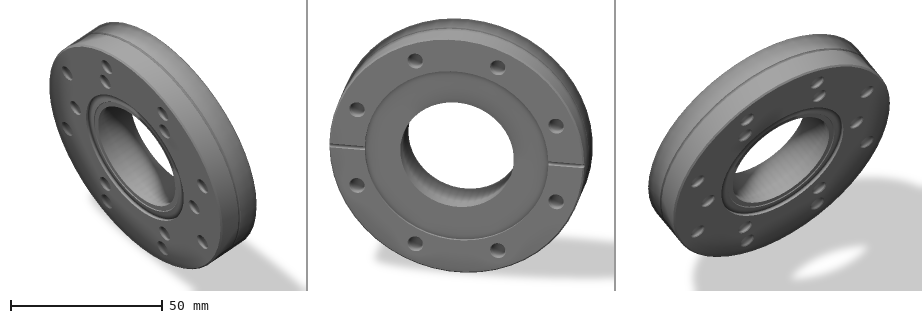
import cadquery as cq
import math

outer_diameter = 85.7
thickness = 16.0
bore_diameter = 38.1
edge_chamfer = 0.5

rim_groove_width = 0.9
rim_groove_depth = 0.3

seat_diameter = 48.25
seat_depth = 1.2
knife_diameter = 42.0
knife_foot_diameter = 41.65
knife_depth = 0.6
land_depth = 0.85

back_recess_diameter = 61.7
back_recess_depth = 0.85

hole_diameter = 4.9
hole_chamfer = 0.25
through_circle_diameter = 72.4
through_count = 8
blind_circle_diameter = 58.7
blind_count = 6
blind_depth = 11.1

leak_groove_radius = 0.7

outer_radius = outer_diameter / 2
back = thickness / 2
front = -back


def flange_body():
    """Revolve the flange half-section, including the rim groove and both gasket recesses."""
    bore_radius = bore_diameter / 2
    knife_foot_radius = knife_foot_diameter / 2
    knife_radius = knife_diameter / 2
    seat_radius = seat_diameter / 2
    back_recess_radius = back_recess_diameter / 2
    chamfer_radius = outer_radius - edge_chamfer
    groove_half_width = rim_groove_width / 2
    return (
        cq.Workplane("XY")
        .moveTo(bore_radius, front + land_depth)
        .lineTo(knife_foot_radius, front + land_depth)
        .lineTo(knife_radius, front + knife_depth)
        .lineTo(seat_radius, front + seat_depth)
        .lineTo(seat_radius, front)
        .lineTo(chamfer_radius, front)
        .lineTo(outer_radius, front + edge_chamfer)
        .lineTo(outer_radius, -groove_half_width)
        .threePointArc((outer_radius - rim_groove_depth, 0), (outer_radius, groove_half_width))
        .lineTo(outer_radius, back - edge_chamfer)
        .lineTo(chamfer_radius, back)
        .lineTo(back_recess_radius, back)
        .lineTo(back_recess_radius, back - back_recess_depth)
        .lineTo(bore_radius, back - back_recess_depth)
        .close()
        .revolve(360, (0, 0, 0), (0, 1, 0))
    )


def hole_cutter(depth, chamfer_far_end):
    """Round cutter entering the front face, flared by the chamfer at each open end."""
    radius = hole_diameter / 2
    mouth_radius = radius + hole_chamfer
    end = front + depth
    section = [(0, front), (mouth_radius, front), (radius, front + hole_chamfer)]
    if chamfer_far_end:
        section += [(radius, end - hole_chamfer), (mouth_radius, end)]
    else:
        section += [(radius, end)]
    section += [(0, end)]
    return cq.Workplane("XY").polyline(section).close().revolve(360, (0, 0, 0), (0, 1, 0))


def hole_ring(cutter, count, circle_diameter, start_angle):
    """Copies of a hole cutter spaced evenly round the Y axis."""
    ring = cq.Workplane("XY")
    for index in range(count):
        angle = math.radians(start_angle + index * 360 / count)
        x = circle_diameter / 2 * math.cos(angle)
        z = circle_diameter / 2 * math.sin(angle)
        ring = ring.add(cutter.translate((x, 0, z)))
    return ring.combine()


through_holes = hole_ring(
    hole_cutter(thickness, True), through_count, through_circle_diameter, 180 / through_count
)
blind_holes = hole_ring(hole_cutter(blind_depth, False), blind_count, blind_circle_diameter, 0)
leak_groove = (
    cq.Workplane("YZ")
    .center(back, 0)
    .circle(leak_groove_radius)
    .extrude(outer_radius, both=True)
)

result = flange_body().cut(through_holes).cut(blind_holes).cut(leak_groove)